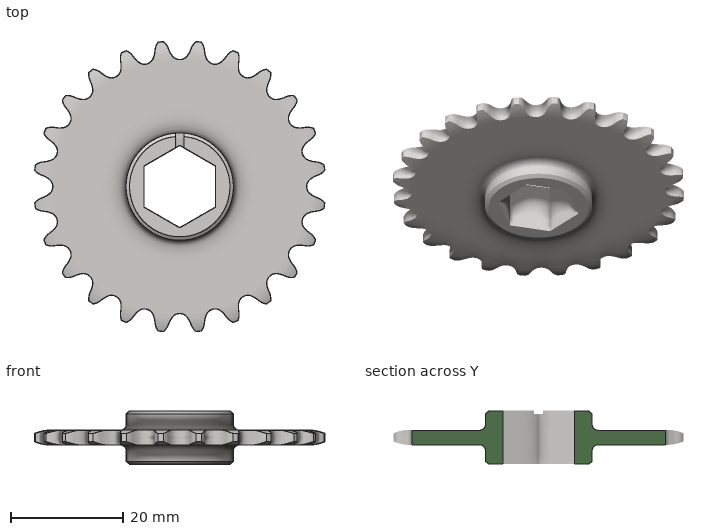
import cadquery as cq
import math

TOOTH_COUNT = 24
PITCH_RADIUS = 24.3
ROLLER_DIAMETER = 3.3

OUTER_SIZE = 51.7
TIP_HALF_ANGLE = 1.1
PLATE_THICKNESS = 2.7
TIP_THICKNESS = 1.45
BEVEL_START_RADIUS = 22.9

HUB_RADIUS = 9.55
HUB_LENGTH = 9.5
HUB_FILLET = 1.0
HUB_CHAMFER_HEIGHT = 0.5
HUB_CHAMFER_WIDTH = 0.6

HEX_ACROSS_FLATS = 12.65
NOTCH_WIDTH = 1.6
NOTCH_DEPTH = 0.6

TOOTH_ANGLE = 360 / TOOTH_COUNT
TIP_RADIUS = OUTER_SIZE / 2 / math.cos(math.radians(TOOTH_ANGLE / 2 - TIP_HALF_ANGLE))


def offset(point, distance, degrees):
    """Point reached by going a distance from a point; degrees turn from +X towards +Y."""
    angle = math.radians(degrees)
    return (point[0] + distance * math.cos(angle), point[1] + distance * math.sin(angle))


def mirrored(point):
    return (point[0], -point[1])


def make_blank():
    """Round blank with the curved tooth bevel and the hub fillets and chamfers, without bore or teeth."""
    plate_top = PLATE_THICKNESS / 2
    hub_top = HUB_LENGTH / 2
    fillet_centre = (HUB_RADIUS + HUB_FILLET, plate_top + HUB_FILLET)
    upper_half = (
        cq.Workplane("XZ")
        .lineTo(0, hub_top)
        .lineTo(HUB_RADIUS - HUB_CHAMFER_WIDTH, hub_top)
        .lineTo(HUB_RADIUS, hub_top - HUB_CHAMFER_HEIGHT)
        .lineTo(HUB_RADIUS, plate_top + HUB_FILLET)
        .threePointArc(
            offset(fillet_centre, HUB_FILLET, 225),
            (HUB_RADIUS + HUB_FILLET, plate_top),
        )
        .lineTo(BEVEL_START_RADIUS, plate_top)
        .tangentArcPoint((TIP_RADIUS, TIP_THICKNESS / 2), relative=False)
        .lineTo(TIP_RADIUS, 0)
        .close()
        .revolve(360, (0, 0), (0, 1))
    )
    return upper_half.union(upper_half.mirror("XY"))


def make_gap_cutter():
    """Prism that removes one tooth gap centred on +X.

    Each side is the standard roller-chain form: an arc that seats the roller, a working arc,
    a short straight tangent to both of its neighbours, and a topping arc that rounds the tooth.
    """
    seat_radius = 0.5025 * ROLLER_DIAMETER
    working_centre_distance = 0.8 * ROLLER_DIAMETER
    topping_centre_distance = 1.4 * ROLLER_DIAMETER
    seat_end_angle = 90 + 35 + 60 / TOOTH_COUNT
    working_sweep = 18 - 56 / TOOTH_COUNT
    topping_sweep = 45

    roller_centre = (PITCH_RADIUS, 0)
    root = offset(roller_centre, seat_radius, 180)
    seat_end = offset(roller_centre, seat_radius, seat_end_angle)

    working_radius = working_centre_distance + seat_radius
    working_centre = offset(roller_centre, working_centre_distance, seat_end_angle - 180)
    working_end_angle = seat_end_angle - working_sweep
    working_middle = offset(working_centre, working_radius, seat_end_angle - working_sweep / 2)
    working_end = offset(working_centre, working_radius, working_end_angle)

    topping_centre = offset(roller_centre, topping_centre_distance, 90 + TOOTH_ANGLE / 2)
    to_centre_x = topping_centre[0] - working_centre[0]
    to_centre_y = topping_centre[1] - working_centre[1]
    normal_x, normal_y = offset((0, 0), 1, working_end_angle)
    topping_radius = to_centre_x * normal_x + to_centre_y * normal_y - working_radius
    topping_start_angle = working_end_angle - 180
    topping_start = offset(topping_centre, topping_radius, topping_start_angle)
    topping_middle = offset(topping_centre, topping_radius, topping_start_angle + topping_sweep / 2)
    topping_end = offset(topping_centre, topping_radius, topping_start_angle + topping_sweep)

    return (
        cq.Workplane()
        .workplane(offset=-PLATE_THICKNESS)
        .moveTo(*topping_end)
        .threePointArc(topping_middle, topping_start)
        .lineTo(*working_end)
        .threePointArc(working_middle, seat_end)
        .threePointArc(root, mirrored(seat_end))
        .threePointArc(mirrored(working_middle), mirrored(working_end))
        .lineTo(*mirrored(topping_start))
        .threePointArc(mirrored(topping_middle), mirrored(topping_end))
        .close()
        .extrude(2 * PLATE_THICKNESS)
    )


def cut_teeth(body):
    gap_cutter = make_gap_cutter()
    for tooth in range(TOOTH_COUNT):
        body = body.cut(gap_cutter.rotate((0, 0, 0), (0, 0, 1), tooth * TOOTH_ANGLE))
    return body


def make_bore():
    """Hexagonal through hole with corners on the Y axis."""
    across_corners = HEX_ACROSS_FLATS / math.cos(math.radians(30))
    return (
        cq.Workplane()
        .polygon(6, across_corners)
        .extrude(HUB_LENGTH, both=True)
        .rotate((0, 0, 0), (0, 0, 1), 90)
    )


def make_notch():
    """Shallow slot in the upper hub face, from the +Y bore corner out through the hub rim."""
    return (
        cq.Workplane()
        .box(NOTCH_WIDTH, HUB_RADIUS, NOTCH_DEPTH, centered=(True, False, False))
        .translate((0, 0, HUB_LENGTH / 2 - NOTCH_DEPTH))
    )


result = cut_teeth(make_blank()).cut(make_bore()).cut(make_notch())